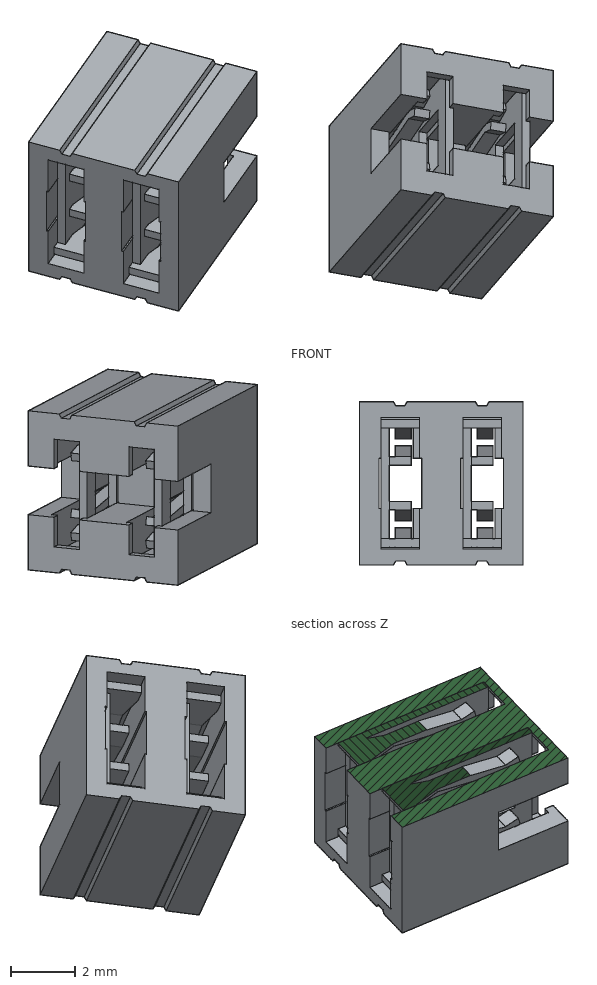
import cadquery as cq
import math


length = 6.1
width = 5.08
height = 5.08
front = -length / 2
rear = length / 2

pitch = 2.545
cavity_centers = [-pitch / 2, pitch / 2]
pin_level = pitch / 2

cavity_width = 1.21
cavity_height = 4.075
rear_wall = 0.3
rear_wall_face = rear - rear_wall
side_recess_width = 1.32
window_left = -0.47
window_right = 0.395
window_height = 3.44

notch_height = 1.55
notch_depth = 2.55

groove_depth = 0.13
groove_mouth = 0.43
groove_wall_angle = 30.0
groove_floor = groove_mouth - 2 * groove_depth * math.tan(math.radians(groove_wall_angle))

sheet = 0.27
flange_gap = 0.89
pinch_gap = 0.21
bridge_width = 0.63
stop_face = front + 0.45
side_plate_face = stop_face + sheet
inner_root_face = front + 1.04
root_taper_start = front + 0.935
left_taper_start = front + 1.3
slope_start = front + 1.89
pinch = front + 4.39
lead_in_end = front + 4.93
lead_in_rise = 0.14
beam_left = -0.16
beam_right = 0.34
plate_left = -cavity_width / 2
plate_right = plate_left + sheet
plate_height = 2 * (pin_level + flange_gap / 2 + sheet)
plate_opening_height = 1.94
plate_opening_front = rear - notch_depth


def box(x_range, y_range, z_range):
    """Box spanning the given ranges."""
    size = [span[1] - span[0] for span in (x_range, y_range, z_range)]
    corner = (x_range[0], y_range[0], z_range[0])
    return cq.Workplane("XY").box(*size, centered=False).translate(corner)


def centered_range(center, size):
    """Range of the given size about a center."""
    return (center - size / 2, center + size / 2)


def marking_groove(center, side):
    """Tapered groove along Y in the top (side 1) or bottom (side -1)."""
    surface = side * height / 2
    floor = surface - side * groove_depth
    outline = [
        (center - groove_mouth / 2, surface),
        (center - groove_floor / 2, floor),
        (center + groove_floor / 2, floor),
        (center + groove_mouth / 2, surface),
    ]
    return cq.Workplane("XZ").polyline(outline).close().extrude(length / 2, both=True)


def make_housing():
    """Block with two contact cavities, a rear notch and marking grooves."""
    body = cq.Workplane("XY").box(width, length, height)
    to_rear_wall = (front, rear_wall_face)
    whole_length = (front, rear)
    for center in cavity_centers:
        cavity = box(centered_range(center, cavity_width), to_rear_wall, centered_range(0, cavity_height))
        recess = box(centered_range(center, side_recess_width), to_rear_wall, centered_range(0, notch_height))
        window_span = (center + window_left, center + window_right)
        window = box(window_span, whole_length, centered_range(0, window_height))
        body = body.cut(cavity).cut(recess).cut(window)
        for side in (1, -1):
            body = body.cut(marking_groove(center, side))
    notch = box(centered_range(0, width), (rear - notch_depth, rear), centered_range(0, notch_height))
    return body.cut(notch)


def beam(plan, toward_flange):
    """Spring beam for the upper pin: flat root, slope to the pinch point, flared lead-in.

    toward_flange is 1 for the outer beam, above the pin, and -1 for the inner beam below it.
    """
    flat_level = pin_level + toward_flange * flange_gap / 2
    pinch_level = pin_level + toward_flange * pinch_gap / 2
    lead_in_angle = math.atan2(lead_in_rise, lead_in_end - pinch)
    pin_side = [
        (stop_face, flat_level),
        (slope_start, flat_level),
        (pinch, pinch_level),
        (lead_in_end, pinch_level + toward_flange * lead_in_rise),
    ]
    far_side = [(y, z + toward_flange * sheet) for y, z in pin_side[:-1]]
    end_y, end_z = pin_side[-1]
    square_end = (
        end_y - sheet * math.sin(lead_in_angle),
        end_z + toward_flange * sheet * math.cos(lead_in_angle),
    )
    side_outline = [*pin_side, square_end, *reversed(far_side)]
    side_prism = cq.Workplane("YZ").polyline(side_outline).close().extrude(cavity_width / 2, both=True)
    plan_prism = cq.Workplane("XY").polyline(plan).close().extrude(height / 2)
    return plan_prism.intersect(side_prism)


def outer_beam():
    """Beam above the upper pin, its root filling the cavity width behind the front edge."""
    plan = [
        (plate_left, stop_face),
        (cavity_width / 2, stop_face),
        (cavity_width / 2, root_taper_start),
        (beam_right, slope_start),
        (beam_right, lead_in_end),
        (beam_left, lead_in_end),
        (beam_left, slope_start),
        (plate_right, left_taper_start),
        (plate_left, left_taper_start),
    ]
    return beam(plan, 1)


def inner_beam():
    """Beam below the upper pin, rooted in the side plate."""
    plan = [
        (plate_right, inner_root_face),
        (beam_right, inner_root_face),
        (beam_right, lead_in_end),
        (beam_left, lead_in_end),
        (beam_left, slope_start),
        (plate_right, left_taper_start),
    ]
    return beam(plan, -1)


def side_plate():
    """Upright plate along the cavity wall, with an opening that leaves a bridge at the rear."""
    thickness = (plate_left, plate_right)
    bridge_face = rear_wall_face - bridge_width
    plate = box(thickness, (side_plate_face, rear_wall_face), centered_range(0, plate_height))
    opening = box(thickness, (plate_opening_front, bridge_face), centered_range(0, plate_opening_height))
    return plate.cut(opening)


def make_contact(center):
    """Contact joining the upper and lower pins of one cavity, each held by two spring beams."""
    contact = side_plate()
    for upper_beam in (outer_beam(), inner_beam()):
        contact = contact.union(upper_beam).union(upper_beam.mirror("XY"))
    return contact.translate((center, 0, 0))


housing = make_housing()
contacts = [make_contact(center) for center in cavity_centers]

result = cq.Compound.makeCompound([housing.val(), *[contact.val() for contact in contacts]])